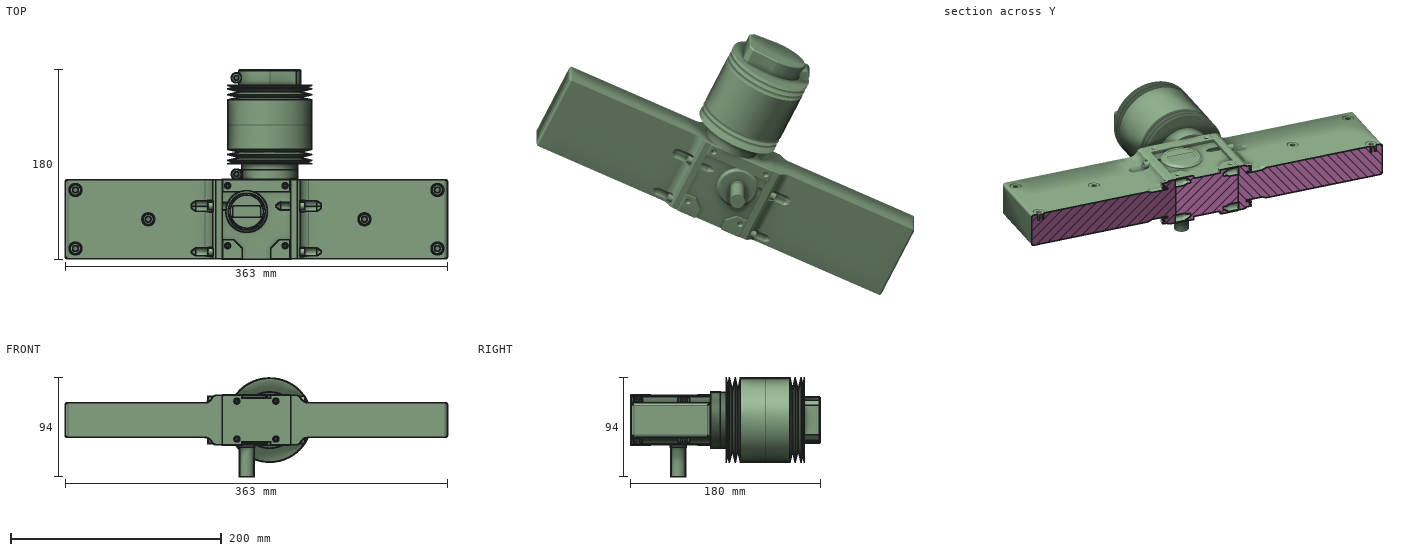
import cadquery as cq
import math


box_length = 65.0
box_width = 76.0
box_height = 48.0
half_box_length = box_length / 2
half_box_width = box_width / 2
half_box_height = box_height / 2
box_edge_chamfer = 0.6
recess_depth = 3.2
recess_floor = half_box_height - recess_depth
strip_width = 11.7
corner_pad_length = 19.0
corner_pad_width = 18.5
corner_pad_chamfer = 8.0
thread_diameter = 3.24
thread_mouth_diameter = 5.5
thread_depth = 10.0
lid_thread_x = 27.3
lid_thread_rear_y = 31.9
lid_thread_front_y = -25.2
front_thread_x = 18.5
front_thread_z = 18.0

shaft_x = -9.2
shaft_y = 7.3
cover_diameter = 39.5
cover_top_diameter = 35.0
cover_rim_height = 1.1
cover_height = 2.8
cover_recess_diameter = 31.5
cover_recess_depth = 0.5
cover_dish_z = recess_floor + cover_height - cover_recess_depth
cover_slot_length = 26.5
cover_slot_width = 11.0
cover_slot_depth = 0.5
cover_slot_corner = 1.5

shaft_diameter = 14.0
collar_diameter = 15.0
collar_height = 2.0
shaft_end_z = -54.0

arm_end_x = 181.5
arm_width = 75.0
arm_height = 33.0
half_arm_height = arm_height / 2
arm_end_fillet = 2.5
root_half_height = 23.6
root_chamfer_start_x = 38.6
root_chamfer_drop = 1.3
root_fillet = 8.0
root_fillet_start_x = 49.2
cover_screw_x = 171.8
cover_screw_y = 27.8
middle_screw_x = 102.6
screw_bore_diameter = 11.0
screw_bore_depth = 6.5
screw_bore_chamfer = 0.5
screw_head_diameter = 10.0
screw_head_drop = 0.8
screw_socket_diameter = 5.5
screw_socket_depth = 3.0

fixing_y = (12.5, -31.0)
fixing_z = 19.0
fixing_head_diameter = 7.0
fixing_head_end_x = 46.0
fixing_socket_diameter = 3.24
fixing_socket_depth = 2.0
groove_diameter = 9.0
groove_start_x = 41.0
groove_end_x = 57.4
bore_tip_half_angle = 25.0
double_groove_offset = 1.2
box_hole_diameter = 8.0
box_hole_end_x = 23.0

coupling_x = 12.6
coupling_mid_y = 89.8
coupling_end_y = 142.0
bellows_radius = 40.0
drum_half_length = 23.5
fin_offsets = (28.4, 34.0)
bellows_half_length = 37.2
valley_radius = 28.5
outer_valley_radius = 33.0
neck_radius = 26.6
front_collar_radius = 26.8
front_collar_end_y = 47.2
rear_hub_half_width = 29.4
rear_hub_half_height = 22.0
rear_hub_chamfer = 1.0
rear_hub_flat_end_x = 25.3
rear_hub_flat_end_z = 19.0
rear_hub_side_z = 14.0
clamp_screw_x = -31.6
clamp_screw_diameter = 9.5
clamp_screw_length = 19.5
clamp_socket_diameter = 4.5
clamp_socket_depth = 3.0
clamp_ear_width = 8.0
clamp_ear_length = 12.0
clamp_ear_inner_x = -25.0
rear_clamp_y = 134.2
front_clamp_y = 42.8


def cylinder_along(start, direction, diameter, length):
    solid = cq.Solid.makeCylinder(diameter / 2, length, cq.Vector(*start), cq.Vector(*direction))
    return cq.Workplane(obj=solid)


def box_between(low, high):
    size = [b - a for a, b in zip(low, high)]
    return cq.Workplane().box(*size, centered=False).translate(low)


def threaded_hole(start, direction):
    """Tapped hole with a countersunk mouth."""
    mouth_depth = (thread_mouth_diameter - thread_diameter) / 2
    mouth = cq.Solid.makeCone(
        thread_mouth_diameter / 2, thread_diameter / 2, mouth_depth,
        cq.Vector(*start), cq.Vector(*direction),
    )
    hole = cylinder_along(start, direction, thread_diameter, thread_depth)
    return hole.union(cq.Workplane(obj=mouth))


def pointed_bore(x_start, x_end, y, diameter):
    """Bore along +X that ends in a cone."""
    radius = diameter / 2
    tip_length = radius / math.tan(math.radians(bore_tip_half_angle))
    profile = [(x_start, 0), (x_end + tip_length, 0), (x_end, radius), (x_start, radius)]
    bore = cq.Workplane().polyline(profile).close().revolve(360, (0, 0, 0), (1, 0, 0))
    return bore.translate((0, y, fixing_z))


def face_recess():
    """Recess around a rear strip and two front corner pads, with a seat for the cover."""
    recess = box_between(
        (-half_box_length, -half_box_width, recess_floor),
        (half_box_length, half_box_width - strip_width, half_box_height),
    )
    pad = (
        cq.Workplane()
        .workplane(offset=recess_floor)
        .moveTo(half_box_length, -half_box_width)
        .hLine(-corner_pad_length)
        .vLine(corner_pad_width - corner_pad_chamfer)
        .line(corner_pad_chamfer, corner_pad_chamfer)
        .hLineTo(half_box_length)
        .close()
        .extrude(recess_depth)
    )
    cover_seat = cylinder_along((shaft_x, shaft_y, recess_floor), (0, 0, 1), cover_diameter, recess_depth)
    return recess.cut(pad).cut(pad.mirror("YZ")).union(cover_seat)


def round_cover():
    """Coned cover on the recess floor, with a dished top."""
    base_radius = cover_diameter / 2
    profile = [
        (0, 0),
        (base_radius, 0),
        (base_radius, cover_rim_height),
        (cover_top_diameter / 2, cover_height),
        (cover_recess_diameter / 2, cover_height),
        (cover_recess_diameter / 2, cover_height - cover_recess_depth),
        (0, cover_height - cover_recess_depth),
    ]
    cover = cq.Workplane("XZ").polyline(profile).close().revolve(360, (0, 0, 0), (0, 1, 0))
    return cover.translate((shaft_x, shaft_y, recess_floor))


def cover_slot():
    """Shallow slot in the top of the upper cover."""
    return (
        cq.Workplane(origin=(shaft_x, shaft_y, cover_dish_z - cover_slot_depth))
        .rect(cover_slot_length, cover_slot_width)
        .extrude(cover_slot_depth)
        .edges("|Z")
        .fillet(cover_slot_corner)
    )


def make_gearbox():
    body = cq.Workplane().box(box_length, box_width, box_height)
    body = body.faces("<Z or >Z").edges().chamfer(box_edge_chamfer)
    cutter = face_recess()
    for side in (-1, 1):
        for y in (lid_thread_rear_y, lid_thread_front_y):
            cutter = cutter.union(threaded_hole((side * lid_thread_x, y, half_box_height), (0, 0, -1)))
        front_start = (side * front_thread_x, -half_box_width, front_thread_z)
        cutter = cutter.union(threaded_hole(front_start, (0, 1, 0)))
    for y in fixing_y:
        hole = pointed_bore(-half_box_length, -box_hole_end_x, y, box_hole_diameter)
        cutter = cutter.union(hole).union(hole.mirror("YZ"))
    body = body.cut(cutter).cut(cutter.mirror("XY"))
    cover = round_cover()
    return body.union(cover).union(cover.mirror("XY")).cut(cover_slot())


def make_shaft():
    """Collared shaft that hangs from the lower cover."""
    top = (shaft_x, shaft_y, -cover_dish_z)
    down = (0, 0, -1)
    collar_length = half_box_height + collar_height - cover_dish_z
    collar = cylinder_along(top, down, collar_diameter, collar_length)
    return collar.union(cylinder_along(top, down, shaft_diameter, -shaft_end_z - cover_dish_z))


def arm_blank():
    """Flat arm that grows into a taller root through a concave fillet."""
    fillet_centre_z = half_arm_height + root_fillet
    chamfer_z = root_half_height - root_chamfer_drop
    rise = fillet_centre_z - chamfer_z
    fillet_end_x = root_fillet_start_x - math.sqrt(root_fillet**2 - rise**2)
    upper = (
        cq.Workplane("XZ")
        .moveTo(half_box_length, 0)
        .vLineTo(root_half_height)
        .hLineTo(root_chamfer_start_x)
        .lineTo(fillet_end_x, chamfer_z)
        .radiusArc((root_fillet_start_x, half_arm_height), -root_fillet)
        .hLineTo(arm_end_x)
        .vLineTo(0)
        .close()
        .extrude(arm_width / 2, both=True)
    )
    blank = upper.union(upper.mirror("XY"))
    return blank.faces(">X").edges().fillet(arm_end_fillet)


def cover_screw_hole(x, y):
    """Chamfered bore around a sunken screw head with a socket."""
    top_z = half_arm_height
    down = (0, 0, -1)
    bore = cylinder_along((x, y, top_z), down, screw_bore_diameter, screw_bore_depth)
    bore_radius = screw_bore_diameter / 2
    mouth = cq.Solid.makeCone(
        bore_radius + screw_bore_chamfer, bore_radius, screw_bore_chamfer,
        cq.Vector(x, y, top_z), cq.Vector(*down),
    )
    head_z = top_z - screw_head_drop
    head = cylinder_along((x, y, head_z), down, screw_head_diameter, screw_bore_depth - screw_head_drop)
    socket = cylinder_along((x, y, head_z), down, screw_socket_diameter, screw_socket_depth)
    return bore.union(cq.Workplane(obj=mouth)).cut(head).union(socket)


def fixing_head(y):
    """Screw head in the groove, with its socket facing away from the gearbox."""
    length = fixing_head_end_x - root_chamfer_start_x
    head = cylinder_along((root_chamfer_start_x, y, fixing_z), (1, 0, 0), fixing_head_diameter, length)
    socket_start = (fixing_head_end_x, y, fixing_z)
    return head.cut(cylinder_along(socket_start, (-1, 0, 0), fixing_socket_diameter, fixing_socket_depth))


def make_right_arm():
    arm = arm_blank()
    for x, y in ((cover_screw_x, cover_screw_y), (cover_screw_x, -cover_screw_y), (middle_screw_x, 0)):
        arm = arm.cut(cover_screw_hole(x, y))
    rear_y, front_y = fixing_y
    for y in (rear_y - double_groove_offset, rear_y + double_groove_offset, front_y):
        groove = pointed_bore(groove_start_x, groove_end_x, y, groove_diameter)
        arm = arm.cut(groove).cut(groove.mirror("XY"))
    for y in fixing_y:
        head = fixing_head(y)
        arm = arm.union(head).union(head.mirror("XY"))
    return arm


def bellows_half_profile():
    """Outline points of half the bellows as (radius, distance from the middle), with sharp fins."""
    first, second = fin_offsets
    return [
        (bellows_radius, 0),
        (bellows_radius, drum_half_length),
        (valley_radius, (drum_half_length + first) / 2),
        (bellows_radius, first),
        (valley_radius, (first + second) / 2),
        (bellows_radius, second),
        (outer_valley_radius, (second + bellows_half_length) / 2),
        (bellows_radius, bellows_half_length),
    ]


def bellows():
    half = bellows_half_profile()
    profile = [(0, 0), *half, (0, bellows_half_length)]
    solid = cq.Workplane().polyline(profile).close().revolve(360, (0, 0, 0), (0, 1, 0))
    return solid.union(solid.mirror("XZ")).translate((0, coupling_mid_y, 0))


def rear_hub():
    """Clamping hub: elliptical on one side, faceted on the other."""
    start_y = coupling_mid_y + bellows_half_length
    hub = (
        cq.Workplane("XZ", origin=(0, start_y, 0))
        .ellipseArc(rear_hub_half_width, rear_hub_half_height, 90, 270, startAtCurrent=False)
        .lineTo(rear_hub_flat_end_x, -rear_hub_flat_end_z)
        .lineTo(rear_hub_half_width, -rear_hub_side_z)
        .lineTo(rear_hub_half_width, rear_hub_side_z)
        .lineTo(rear_hub_flat_end_x, rear_hub_flat_end_z)
        .close()
        .extrude(start_y - coupling_end_y)
    )
    return hub.faces(">Y").edges().chamfer(rear_hub_chamfer)


def clamp_screw(y):
    """Socket screw along Z, held to the hub by a rectangular ear."""
    bottom = (clamp_screw_x, y, -clamp_screw_length / 2)
    screw = cylinder_along(bottom, (0, 0, 1), clamp_screw_diameter, clamp_screw_length)
    ear = box_between(
        (clamp_screw_x, y - clamp_ear_width / 2, -clamp_ear_length / 2),
        (clamp_ear_inner_x, y + clamp_ear_width / 2, clamp_ear_length / 2),
    )
    top = (clamp_screw_x, y, clamp_screw_length / 2)
    return screw.union(ear).cut(cylinder_along(top, (0, 0, -1), clamp_socket_diameter, clamp_socket_depth))


def make_coupling():
    collar_start = (0, half_box_width, 0)
    collar_length = front_collar_end_y - half_box_width
    collar = cylinder_along(collar_start, (0, 1, 0), 2 * front_collar_radius, collar_length)
    neck_length = coupling_mid_y - half_box_width
    neck = cylinder_along(collar_start, (0, 1, 0), 2 * neck_radius, neck_length)
    coupling = bellows().union(neck).union(collar).union(rear_hub())
    for y in (rear_clamp_y, front_clamp_y):
        coupling = coupling.union(clamp_screw(y))
    return coupling.translate((coupling_x, 0, 0))


gearbox = make_gearbox()
shaft = make_shaft()
right_arm = make_right_arm()
left_arm = right_arm.mirror("YZ")
coupling = make_coupling()

result = cq.Compound.makeCompound(
    [gearbox.val(), shaft.val(), left_arm.val(), right_arm.val(), coupling.val()]
)